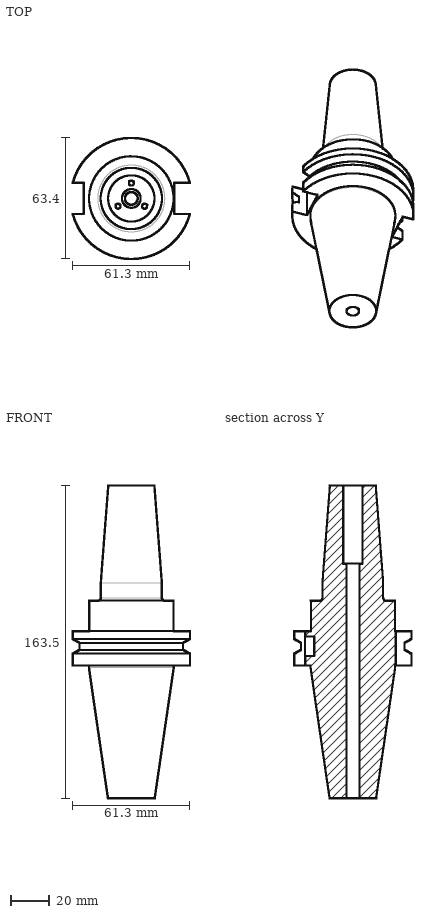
import cadquery as cq
import math


taper_length = 68.4
gauge_radius = 22.2
taper_ratio = 7 / 24
taper_end_radius = gauge_radius - taper_length * taper_ratio / 2

flange_radius = 31.7
flange_bottom = taper_length + 1.0
flange_top = 87.5
groove_center = 79.5
groove_root_radius = 28.3
groove_floor_width = 3.6
groove_flank_angle = 30
groove_flank_height = (flange_radius - groove_root_radius) * math.tan(math.radians(groove_flank_angle))
groove_floor_bottom = groove_center - groove_floor_width / 2
groove_floor_top = groove_center + groove_floor_width / 2

slot_width = 16.2
slot_floor_left = 24.9
slot_floor_right = 22.5

pocket_radius = 4.9
pocket_depth = 4.5

body_radius = 22.0
body_top = 103.4
neck_radius = 16.0
neck_fillet = 1.5
neck_top = 112.7
nose_radius = 12.1
total_height = 163.5

bore_radius = 4.9
bore_depth = 40.9
passage_radius = 3.3

coolant_hole_count = 3
coolant_hole_radius = 1.3
coolant_circle_radius = 8.0
coolant_hole_depth = 40.9
coolant_hole_slope = math.atan((neck_radius - nose_radius) / (total_height - neck_top))
first_coolant_angle = 90


def make_turned_body():
    """Revolve the outer half profile about Z."""
    fillet_middle = neck_fillet * (1 - math.sqrt(0.5))
    return (
        cq.Workplane("XZ")
        .moveTo(0, 0)
        .lineTo(taper_end_radius, 0)
        .lineTo(gauge_radius, taper_length)
        .lineTo(gauge_radius, flange_bottom)
        .lineTo(flange_radius, flange_bottom)
        .lineTo(flange_radius, groove_floor_bottom - groove_flank_height)
        .lineTo(groove_root_radius, groove_floor_bottom)
        .lineTo(groove_root_radius, groove_floor_top)
        .lineTo(flange_radius, groove_floor_top + groove_flank_height)
        .lineTo(flange_radius, flange_top)
        .lineTo(body_radius, flange_top)
        .lineTo(body_radius, body_top)
        .lineTo(neck_radius + neck_fillet, body_top)
        .threePointArc(
            (neck_radius + fillet_middle, body_top + fillet_middle),
            (neck_radius, body_top + neck_fillet),
        )
        .lineTo(neck_radius, neck_top)
        .lineTo(nose_radius, total_height)
        .lineTo(0, total_height)
        .close()
        .revolve(360, (0, 0, 0), (0, 1, 0))
    )


def make_drive_slot(floor_distance, side):
    """Block that clears the flange outward from the slot floor; side is -1 or +1 along X."""
    block_length = flange_radius
    return (
        cq.Workplane("XY")
        .workplane(offset=flange_bottom)
        .center(side * (floor_distance + block_length / 2), 0)
        .rect(block_length, slot_width)
        .extrude(flange_top - flange_bottom)
    )


def make_slot_pocket():
    """Cylinder running inward from the floor of the -X slot."""
    return (
        cq.Workplane("YZ")
        .workplane(offset=-slot_floor_left)
        .center(0, groove_center)
        .circle(pocket_radius)
        .extrude(pocket_depth)
    )


def make_bore():
    """Tool bore from the nose face, joined to the passage through the whole length."""
    passage = cq.Workplane("XY").circle(passage_radius).extrude(total_height)
    bore = cq.Workplane("XY").workplane(offset=total_height).circle(bore_radius).extrude(-bore_depth)
    return passage.union(bore)


def make_coolant_holes():
    """Sloping cylinders entering the nose face on one circle."""
    mouth_overrun = 1.6
    holes = cq.Workplane("XY")
    for index in range(coolant_hole_count):
        hole = (
            cq.Workplane("XY")
            .workplane(offset=mouth_overrun)
            .circle(coolant_hole_radius)
            .extrude(-(coolant_hole_depth + mouth_overrun))
            .rotate((0, 0, 0), (0, 1, 0), -math.degrees(coolant_hole_slope))
            .translate((coolant_circle_radius, 0, total_height))
            .rotate((0, 0, 0), (0, 0, 1), first_coolant_angle + index * 360 / coolant_hole_count)
        )
        holes = holes.add(hole)
    return holes.combine()


result = (
    make_turned_body()
    .cut(make_drive_slot(slot_floor_left, -1))
    .cut(make_drive_slot(slot_floor_right, 1))
    .cut(make_slot_pocket())
    .cut(make_bore())
    .cut(make_coolant_holes())
)